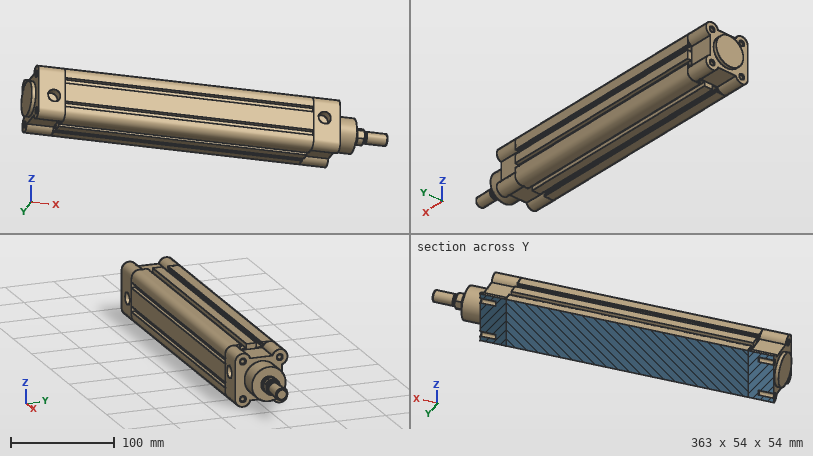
import cadquery as cq
import math

REAR_SPIGOT_LENGTH = 4.0
CAP_LENGTH = 27.0
TUBE_LENGTH = 250.5
FRONT_SPIGOT_LENGTH = 20.0
TOTAL_LENGTH = 363.0

REAR_CAP_START = REAR_SPIGOT_LENGTH
TUBE_START = REAR_CAP_START + CAP_LENGTH
FRONT_CAP_START = TUBE_START + TUBE_LENGTH
FRONT_CAP_END = FRONT_CAP_START + CAP_LENGTH
ROD_START = FRONT_CAP_END + FRONT_SPIGOT_LENGTH

WIDTH = 54.0
HALF_WIDTH = WIDTH / 2
CORNER_RADIUS = 8.0
CORNER_CENTRE = HALF_WIDTH - CORNER_RADIUS

CAP_FLOOR = 21.5
SPIGOT_RADIUS = 17.5
SCREW_HOLE_RADIUS = 2.35
SCREW_COUNTERSINK = 0.9
SCREW_HOLE_DEPTH = 16.0
PORT_RADIUS = 6.0
PORT_DEPTH = 10.0
PORT_INSET = 15.5
PORT_OFFSET = 4.7

SLOT_WIDTH = 5.5
SLOT_DEPTH = 4.7
SLOT_CENTRE = 7.8
SLOT_LIP = 1.8
SLOT_UNDERCUT = 1.0
FRONT_SLOT_CENTRE = 12.15
FRONT_SLOT_DEPTH = 3.5
FRONT_SLOT_TAPER = 0.55

ROD_RADIUS = 8.0
COLLAR_LENGTH = 4.0
COLLAR_CHAMFER = 1.0
FLAT_DISTANCE = 7.0
NECK_RADIUS = 5.5
NECK_LENGTH = 1.5
THREAD_RADIUS = 6.0
THREAD_LENGTH = 22.0
THREAD_CHAMFER = 1.0
SHOULDER_CHAMFER = 1.0

THREAD_START = TOTAL_LENGTH - THREAD_LENGTH
NECK_START = THREAD_START - NECK_LENGTH


def cross_section(x):
    """Workplane across the axis: local X is world Y, local Y is world Z."""
    return cq.Workplane("YZ", origin=(x, 0, 0))


def cap_body(x):
    """Four round corner lobes; the top, bottom and back are recessed and the front is flat."""
    lobe_reach = math.sqrt(CORNER_RADIUS**2 - (CAP_FLOOR - CORNER_CENTRE) ** 2)
    floor_end = CORNER_CENTRE - lobe_reach
    lobe_outer = CORNER_CENTRE + CORNER_RADIUS * math.sqrt(0.5)
    outline = (
        cross_section(x)
        .moveTo(-HALF_WIDTH, -CORNER_CENTRE)
        .lineTo(-HALF_WIDTH, CORNER_CENTRE)
        .threePointArc((-CORNER_CENTRE, HALF_WIDTH), (-floor_end, CAP_FLOOR))
        .lineTo(floor_end, CAP_FLOOR)
        .threePointArc((lobe_outer, lobe_outer), (CAP_FLOOR, floor_end))
        .lineTo(CAP_FLOOR, -floor_end)
        .threePointArc((lobe_outer, -lobe_outer), (floor_end, -CAP_FLOOR))
        .lineTo(-floor_end, -CAP_FLOOR)
        .threePointArc((-CORNER_CENTRE, -HALF_WIDTH), (-HALF_WIDTH, -CORNER_CENTRE))
        .close()
    )
    return outline.extrude(CAP_LENGTH)


def end_cap(cap_start, outer_face, outward, spigot_length, port_z):
    """Cap starting at cap_start; outward is the X direction (-1 or 1) its outer face points in."""
    spigot = cross_section(outer_face).circle(SPIGOT_RADIUS).extrude(outward * spigot_length)
    cap = cap_body(cap_start).union(spigot)

    for y in (-CORNER_CENTRE, CORNER_CENTRE):
        for z in (-CORNER_CENTRE, CORNER_CENTRE):
            cap = cap.cut(screw_hole(outer_face, outward, y, z))

    port = (
        cq.Workplane("XZ", origin=(outer_face - outward * PORT_INSET, -HALF_WIDTH, port_z))
        .circle(PORT_RADIUS)
        .extrude(-PORT_DEPTH)
    )
    return cap.cut(port)


def screw_hole(outer_face, outward, y, z):
    """Blind countersunk hole, as the solid to remove."""
    mouth_radius = SCREW_HOLE_RADIUS + SCREW_COUNTERSINK
    inward = cq.Vector(-outward, 0, 0)
    mouth = cq.Vector(outer_face, y, z)
    shaft = cq.Solid.makeCylinder(SCREW_HOLE_RADIUS, SCREW_HOLE_DEPTH, mouth, inward)
    countersink = cq.Solid.makeCone(mouth_radius, SCREW_HOLE_RADIUS, SCREW_COUNTERSINK, mouth, inward)
    return cq.Workplane(shaft.fuse(countersink))


def undercut_slot(side):
    """Slot in the top of the tube; the wall towards the corner on that side runs under a lip."""
    inner = side * (SLOT_CENTRE - SLOT_WIDTH / 2)
    outer = side * (SLOT_CENTRE + SLOT_WIDTH / 2)
    undercut = outer + side * SLOT_UNDERCUT
    lip_bottom = HALF_WIDTH - SLOT_LIP
    floor = HALF_WIDTH - SLOT_DEPTH
    outline = [
        (inner, HALF_WIDTH),
        (inner, floor),
        (undercut, floor),
        (undercut, lip_bottom),
        (outer, lip_bottom),
        (outer, HALF_WIDTH),
    ]
    return cross_section(TUBE_START).polyline(outline).close().extrude(TUBE_LENGTH)


def tapered_slot(z):
    """Slot in the front of the tube, narrowing towards its floor."""
    half_mouth = SLOT_WIDTH / 2
    half_floor = half_mouth - FRONT_SLOT_TAPER
    floor = -HALF_WIDTH + FRONT_SLOT_DEPTH
    outline = [
        (-HALF_WIDTH, z - half_mouth),
        (floor, z - half_floor),
        (floor, z + half_floor),
        (-HALF_WIDTH, z + half_mouth),
    ]
    return cross_section(TUBE_START).polyline(outline).close().extrude(TUBE_LENGTH)


def slotted_tube():
    body = cross_section(TUBE_START).rect(WIDTH, WIDTH).extrude(TUBE_LENGTH)
    body = body.edges("|X").fillet(CORNER_RADIUS)
    for side in (-1, 1):
        slot = undercut_slot(side)
        for turn in (0, -90, 180):
            body = body.cut(slot.rotate((0, 0, 0), (1, 0, 0), turn))
        body = body.cut(tapered_slot(side * FRONT_SLOT_CENTRE))
    return body


def piston_rod():
    collar = cross_section(ROD_START).circle(ROD_RADIUS).extrude(COLLAR_LENGTH)
    collar = collar.faces(">X").chamfer(COLLAR_CHAMFER)
    wrench_start = ROD_START + COLLAR_LENGTH
    wrench = cross_section(wrench_start).circle(ROD_RADIUS).extrude(NECK_START - wrench_start)
    wrench = wrench.faces(">X").chamfer(SHOULDER_CHAMFER)
    wrench = wrench.intersect(
        cross_section(wrench_start).rect(2 * FLAT_DISTANCE, 2 * ROD_RADIUS).extrude(TOTAL_LENGTH - wrench_start)
    )
    neck = cross_section(NECK_START).circle(NECK_RADIUS).extrude(NECK_LENGTH)
    thread = cross_section(THREAD_START).circle(THREAD_RADIUS).extrude(THREAD_LENGTH)
    thread = thread.faces("<X or >X").chamfer(THREAD_CHAMFER)
    return collar.union(wrench).union(neck).union(thread)


rear_cap = end_cap(REAR_CAP_START, REAR_CAP_START, -1, REAR_SPIGOT_LENGTH, -PORT_OFFSET)
front_cap = end_cap(FRONT_CAP_START, FRONT_CAP_END, 1, FRONT_SPIGOT_LENGTH, PORT_OFFSET)
tube = slotted_tube()
rod = piston_rod()

result = cq.Compound.makeCompound([rear_cap.val(), tube.val(), front_cap.val(), rod.val()])